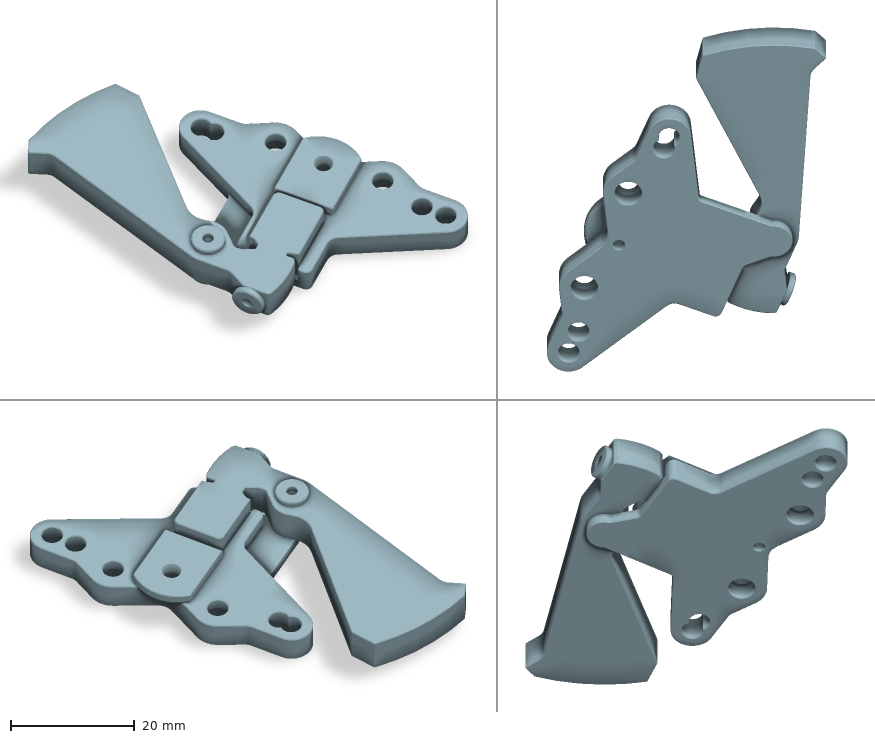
import cadquery as cq
import math


floor_top = 1.9
bracket_top = 4.6
pad_top = 6.6
lever_top = 7.65
pivot_head_top = 8.7
edge_chamfer = 0.15

wing_angle = math.radians(28)
wing_tip_x = 21.85
wing_tip_radius = 3.5
lobe_x = 9.53
lobe_y = 2.2
lobe_radius = 4.1
lobe_root_radius = 2.0
valley_radius = 3.0
arm_half_width = 6.7
arm_end_y = -20.2
arm_root_radius = 2.0
arm_corner_radius = 1.1
arm_inner_radius = 0.5
slot_half_width = 4.45
slot_end_y = -8.95
slot_corner_radius = 1.0

wing_hole_diameter = 3.4
wing_hole_places = [
    (-21.75, 0), (-19.55, 0), (17.5, 0), (21.75, 0),
]
lobe_hole_places = [(-lobe_x, lobe_y), (lobe_x, lobe_y)]
lobe_counterbore_diameter = 4.5
lobe_counterbore_depth = 2.75

pad_half_width = 5.2
pad_front_y = -7.85
pad_shoulder_y = 3.45
pad_back_y = 5.5
pad_bevel_height = 0.65
pad_bevel_width = 0.4
pad_hole_diameter = 2.0
pad_countersink_diameter = 3.15
pad_countersink_depth = 1.2

pivot_x = -10.04
pivot_y = -23.07
floor_lug_radius = 5.9 / 2
floor_left_x = -12.63
floor_blend_radius = 1.0
lug_blend_radius = 1.0
floor_step_start = (-8.0, -24.55)
floor_step_end_x = -3.8

lever_lug_radius = 4.0
fan_radius = 35.77
fan_low_corner_y = -16.1
fan_high_corner_y = 0.3
fan_shoulder = (-32.6, -0.35)
fan_toe = (-44.1, -18.55)
fan_heel = (-40.65, -17.14)
fan_toe_radius = 0.3
fan_heel_radius = 2.3
neck_corner = (-14.7, -19.55)
neck_radius = 4.0
head_radius = 14.65
head_top_y = -21.0
head_corner_size = 0.4
head_bottom_y = -28.85
head_bottom_left_x = -1.2
head_underside_bend = (-4.35, pivot_y - lever_lug_radius)
underside_bend_radius = 2.3
lug_crest = (-9.4, -18.55)
lug_crest_radius = 3.5
lug_valley = (-5.7, -22.2)
lug_valley_radius = 1.0
lug_underside = (-10.69, pivot_y - lever_lug_radius)
tongue_root_y = -19.3
relief_corner_radius = 0.4
left_relief_valley = (-4.4, -22.05)
left_relief_low = (-2.5, -21.1)
left_relief_high = (-2.5, -20.1)
left_relief_mouth = (-3.7, tongue_root_y)
right_relief_x = 2.6
right_relief_top_y = -19.8
right_relief_bottom_y = -20.3
right_relief_mouth_x = 4.0

screw_head_diameter = 5.5
screw_socket_diameter = 1.8
socket_mouth_diameter = 2.0
socket_chamfer_angle = 90
screw_head_chamfer = 0.2
stop_head_height = 1.04


def toward(start, end, distance):
    """Point at a distance from start on the way to end."""
    share = distance / math.dist(start, end)
    return (start[0] + share * (end[0] - start[0]), start[1] + share * (end[1] - start[1]))


def around_pivot(radius, angle):
    """Point on a circle about the pivot."""
    return (pivot_x + radius * math.cos(angle), pivot_y + radius * math.sin(angle))


def pivot_angle(radius, y):
    """Angle in the right half of a circle about the pivot at which it reaches that Y."""
    return math.asin((y - pivot_y) / radius)


def rounded_plate(corners, bottom, top):
    """Plate whose outline has corners (point, radius, via).

    A corner with a radius is rounded. The side that leads to a corner is an arc through via,
    or straight when via is None.
    """
    points = [point for point, radius, via in corners]
    trims = []
    for index, (point, radius, via) in enumerate(corners):
        before = points[index - 1]
        after = points[(index + 1) % len(points)]
        heading_back = math.atan2(before[1] - point[1], before[0] - point[0])
        heading_on = math.atan2(after[1] - point[1], after[0] - point[0])
        half_angle = abs(math.remainder(heading_on - heading_back, 2 * math.pi)) / 2
        if radius == 0:
            trims.append((point, point, point))
            continue
        tangent = radius / math.tan(half_angle)
        entry = toward(point, before, tangent)
        leave = toward(point, after, tangent)
        middle = ((entry[0] + leave[0]) / 2, (entry[1] + leave[1]) / 2)
        depth = radius / math.sin(half_angle) - radius
        trims.append((entry, toward(point, middle, depth), leave))

    outline = cq.Workplane("XY", origin=(0, 0, bottom)).moveTo(*trims[0][2])
    sides = list(zip(trims, corners))
    for (entry, middle, leave), (_, radius, via) in sides[1:] + sides[:1]:
        if via is None:
            outline = outline.lineTo(*entry)
        else:
            outline = outline.threePointArc(via, entry)
        if radius > 0:
            outline = outline.threePointArc(middle, leave)
    return outline.close().extrude(top - bottom)


def cylinder(x, y, diameter, bottom, top):
    """Upright cylinder between two heights."""
    return cq.Workplane("XY", origin=(x, y, bottom)).circle(diameter / 2).extrude(top - bottom)



wing_slope = math.tan(wing_angle)
lobe_peak_y = lobe_y + lobe_radius / math.cos(wing_angle)
valley_y = lobe_peak_y - lobe_x * wing_slope
lobe_root_x = lobe_x + (lobe_peak_y - wing_tip_radius) / wing_slope
wing_under_y = -wing_tip_radius / math.cos(wing_angle)
wing_point_x = wing_tip_x + (wing_tip_radius - wing_under_y) / wing_slope
arm_root_y = wing_under_y - (wing_tip_x - arm_half_width) * wing_slope
right_wing = [
    ((lobe_x, lobe_peak_y), lobe_radius, None),
    ((lobe_root_x, wing_tip_radius), lobe_root_radius, None),
    ((wing_point_x, wing_tip_radius), wing_tip_radius, None),
    ((arm_half_width, arm_root_y), arm_root_radius, None),
]


def mirrored(corners):
    """The same corners on the other side of the centreline, in reverse order."""
    return [((-x, y), radius, via) for (x, y), radius, via in reversed(corners)]


def drill_wing_holes(plate):
    for x, y in wing_hole_places + lobe_hole_places:
        plate = plate.cut(cylinder(x, y, wing_hole_diameter, 0, bracket_top))
    return plate


def make_wings():
    """Upper part of the bracket: both wings and the two arms beside the slot."""
    right_side = right_wing + [
        ((arm_half_width, arm_end_y), arm_corner_radius, None),
        ((slot_half_width, arm_end_y), arm_inner_radius, None),
        ((slot_half_width, slot_end_y), slot_corner_radius, None),
    ]
    valley = [((0, valley_y), valley_radius, None)]
    wings = rounded_plate(valley + right_side + mirrored(right_side), floor_top, bracket_top)
    wings = drill_wing_holes(wings)
    return wings.faces(">Z").edges().chamfer(edge_chamfer)


def make_floor():
    """Lower part of the bracket: the wing outline filled out to the lug under the pivot."""
    floor_left_y = wing_under_y - (wing_tip_x + floor_left_x) * wing_slope
    step_end = (floor_step_end_x, arm_end_y)
    corners = [((0, valley_y), valley_radius, None)] + right_wing + [
        ((arm_half_width, arm_end_y), arm_corner_radius, None),
        (step_end, floor_blend_radius, None),
        (floor_step_start, 0, None),
        ((pivot_x, pivot_y), 0, None),
        ((floor_left_x, pivot_y), 0, None),
        ((floor_left_x, floor_left_y), floor_blend_radius, None),
    ] + mirrored(right_wing)[1:]
    lug = cylinder(pivot_x, pivot_y, 2 * floor_lug_radius, 0, floor_top)
    floor = rounded_plate(corners, 0, floor_top).union(lug)
    lug_junctions = cq.selectors.BoxSelector(
        (pivot_x - floor_lug_radius, pivot_y - floor_lug_radius, 0),
        (pivot_x + floor_lug_radius, pivot_y + floor_lug_radius, floor_top),
    )
    floor = floor.edges("|Z").edges(lug_junctions).fillet(lug_blend_radius)
    floor = drill_wing_holes(floor)
    return floor.faces("<Z").edges().chamfer(edge_chamfer)


def make_pad():
    """Raised pad with an arched back end and a bevel under its sides and back."""
    return (
        cq.Workplane("XY", origin=(0, 0, bracket_top))
        .moveTo(-pad_half_width, pad_front_y)
        .lineTo(pad_half_width, pad_front_y)
        .lineTo(pad_half_width, pad_shoulder_y)
        .threePointArc((0, pad_back_y), (-pad_half_width, pad_shoulder_y))
        .close()
        .extrude(pad_top - bracket_top)
        .faces("<Z").edges("not <Y").chamfer(pad_bevel_height, pad_bevel_width)
        .faces(">Z").edges().chamfer(edge_chamfer)
    )


def make_bracket():
    bracket = make_floor().union(make_wings()).union(make_pad())
    for x, y in lobe_hole_places:
        bracket = bracket.cut(cylinder(x, y, lobe_counterbore_diameter, 0, lobe_counterbore_depth))
    countersink = (
        cq.Workplane("XY", origin=(0, 0, pad_top))
        .circle(pad_countersink_diameter / 2)
        .workplane(offset=-pad_countersink_depth)
        .circle(pad_hole_diameter / 2)
        .loft()
    )
    bracket = bracket.cut(countersink)
    return bracket.cut(cylinder(0, 0, pad_hole_diameter, 0, pad_top))



def make_lever_plate():
    """Lever plate: fan-shaped thumb end, lug about the pivot, head and tongue."""
    fan_low = math.pi - pivot_angle(fan_radius, fan_low_corner_y)
    fan_high = math.pi - pivot_angle(fan_radius, fan_high_corner_y)
    head_top = pivot_angle(head_radius, head_top_y)
    head_bottom = pivot_angle(head_radius, head_bottom_y + head_corner_size)
    head_corner_x = around_pivot(head_radius, head_bottom)[0] - head_corner_size
    corners = [
        (around_pivot(fan_radius, fan_low), 0, None),
        (around_pivot(fan_radius, fan_high), 0, around_pivot(fan_radius, (fan_low + fan_high) / 2)),
        (fan_shoulder, 0, None),
        (neck_corner, neck_radius, None),
        (lug_crest, lug_crest_radius, None),
        (lug_valley, lug_valley_radius, None),
        (left_relief_valley, relief_corner_radius, None),
        (left_relief_low, 0, None),
        (left_relief_high, relief_corner_radius, None),
        (left_relief_mouth, relief_corner_radius, None),
        ((-slot_half_width, tongue_root_y), 0, None),
        ((-slot_half_width, slot_end_y), slot_corner_radius, None),
        ((slot_half_width, slot_end_y), slot_corner_radius, None),
        ((slot_half_width, tongue_root_y), 0, None),
        ((right_relief_x, right_relief_top_y), 0, None),
        ((right_relief_x, right_relief_bottom_y), 0, None),
        ((right_relief_mouth_x, right_relief_bottom_y), 0, None),
        (around_pivot(head_radius, head_top), 0, None),
        (
            around_pivot(head_radius, head_bottom), 0,
            around_pivot(head_radius, (head_top + head_bottom) / 2),
        ),
        ((head_corner_x, head_bottom_y), 0, None),
        ((head_bottom_left_x, head_bottom_y), 0, None),
        (head_underside_bend, underside_bend_radius, None),
        (lug_underside, lever_lug_radius, None),
        (fan_heel, fan_heel_radius, None),
        (fan_toe, fan_toe_radius, None),
    ]
    plate = rounded_plate(corners, floor_top, lever_top)
    return plate.faces("<Z or >Z").edges().chamfer(edge_chamfer)


def make_screw_head(height):
    """Disc-shaped screw head standing on Z = 0 with a socket in its top."""
    head = cq.Workplane("XY").circle(screw_head_diameter / 2).extrude(height)
    head = head.faces(">Z").edges().chamfer(screw_head_chamfer)
    return head.faces(">Z").workplane().cskHole(
        screw_socket_diameter, socket_mouth_diameter, socket_chamfer_angle, height
    )


def make_lever():
    pivot_head = make_screw_head(pivot_head_top - lever_top)
    pivot_head = pivot_head.translate((pivot_x, pivot_y, lever_top))
    stop_head = make_screw_head(stop_head_height)
    stop_head = stop_head.rotate((0, 0, 0), (1, 0, 0), 90)
    stop_head = stop_head.translate((0, head_bottom_y, (floor_top + lever_top) / 2))
    return make_lever_plate().union(pivot_head).union(stop_head)


bracket = make_bracket()
lever = make_lever()
result = cq.Compound.makeCompound([bracket.val(), lever.val()])